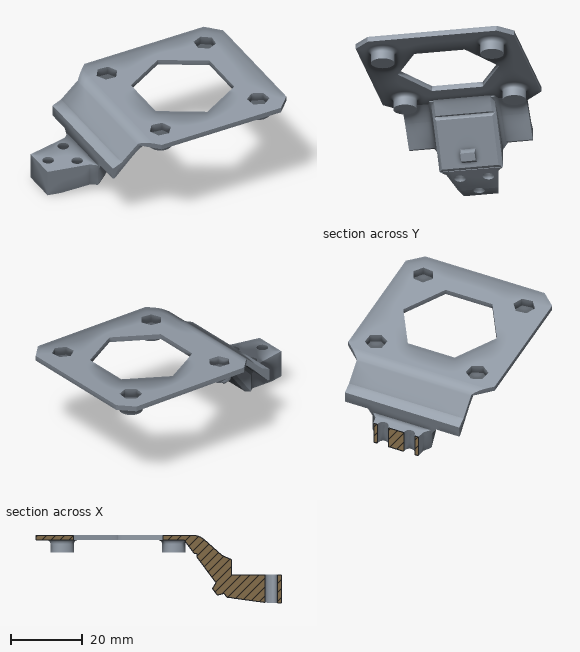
import cadquery as cq
import math


plate_width = 45.0
plate_thickness = 1.5
plate_back_y = 22.9
corner_cut_x = 4.2
corner_cut_y = 3.95
front_corner_y = -18.85
window_apothem = 12.45

boss_spacing = 31.0
boss_radius = 3.3
boss_bottom_z = -5.0
boss_root_fillet = 1.0
nut_pocket_radius = 3.15
nut_pocket_depth = 2.45
back_nut_angle = 6.5
left_front_nut_angle = 26
right_front_nut_angle = 22

slab_width = 35.1
slab_end_y = -31.65
slab_end_bottom_z = -10.2
bend_start_y = -20.65
bend_radius = 5.0
bend_angle = math.radians(41.5)
lip_start_y = -28.9
lip_end_z = -6.85
plate_front_y = -23.65
underside_radius = 15.7
underside_bend_end = (-25.5, -4.7)
underside_flat_y = -31.0

rib_width = 18.05
rib_chamfer = 1.0
web_drop = 1.0
web_embed = 0.4
web_overlap = 0.55
web_start_y = -18.8
rib_top_y = -18.4
rib_foot_y = -30.3
rib_bottom_z = -17.4
notch_y = -21.1
notch_leg_z = 1.0

lug_width = 4.1
lug_base_length = 3.8
lug_tip_length = 2.3
lug_height = 1.8
lug_root_fillet = 0.4
lug_root_depth = 0.7
lug_centre_y = -28.3

block_end_y = -45.45
block_top_z = -11.0
block_bottom_z = -18.9
block_heel_z = -17.6
block_flat_y = -41.7
block_root_half = 8.9
block_shoulder_half = 7.4
block_shoulder_y = -33.35
block_tip_half = 4.9
block_hole_diameter = 3.2
block_hole_spacing = 8.05
block_rear_hole_y = -35.6
block_front_hole_y = -42.6

bend_mid = (
    bend_start_y - bend_radius * math.sin(bend_angle / 2),
    -bend_radius * (1 - math.cos(bend_angle / 2)),
)
bend_end = (
    bend_start_y - bend_radius * math.sin(bend_angle),
    -bend_radius * (1 - math.cos(bend_angle)),
)
lip_start = (lip_start_y, bend_end[1] - (bend_end[0] - lip_start_y) * math.tan(bend_angle))
rib_slope = (rib_bottom_z + plate_thickness) / (rib_foot_y - rib_top_y)

underside_angle = math.atan2(
    underside_bend_end[1] - slab_end_bottom_z, underside_bend_end[0] - underside_flat_y
)
underside_centre = (
    underside_bend_end[0] + underside_radius * math.sin(underside_angle),
    underside_bend_end[1] - underside_radius * math.cos(underside_angle),
)
underside_start_angle = math.acos((-plate_thickness - underside_centre[1]) / underside_radius)


def underside_point(radius, angle):
    """YZ point about the centre of the underside bend, the angle measured from +Z towards -Y."""
    return (
        underside_centre[0] - radius * math.sin(angle),
        underside_centre[1] + radius * math.cos(angle),
    )


def rib_underside_z(y):
    return -plate_thickness + (y - rib_top_y) * rib_slope


def extrude_across(profile, width):
    """Extrude a closed YZ profile symmetrically about X = 0."""
    return profile.close().extrude(width / 2, both=True)


def make_plate():
    half = plate_width / 2
    slab_half = slab_width / 2
    right_side = [
        (slab_half, plate_front_y),
        (half, front_corner_y),
        (half, plate_back_y - corner_cut_y),
        (half - corner_cut_x, plate_back_y),
    ]
    left_side = [(-x, y) for x, y in reversed(right_side)]
    outline = right_side + left_side
    plate = cq.Workplane("XY").polyline(outline).close().extrude(-plate_thickness)
    above_bend = (
        cq.Workplane("YZ")
        .moveTo(bend_start_y, 0)
        .threePointArc(bend_mid, bend_end)
        .lineTo(bend_end[0], plate_thickness)
        .lineTo(bend_start_y, plate_thickness)
    )
    return plate.cut(extrude_across(above_bend, plate_width))


def trace_underside(profile):
    """Follow the slab underside from the plate to the slab end."""
    middle_angle = (underside_start_angle + underside_angle) / 2
    return (
        profile.lineTo(*underside_point(underside_radius, underside_start_angle))
        .threePointArc(underside_point(underside_radius, middle_angle), underside_bend_end)
        .lineTo(underside_flat_y, slab_end_bottom_z)
        .lineTo(slab_end_y, slab_end_bottom_z)
    )


def make_slab():
    profile = trace_underside(
        cq.Workplane("YZ").moveTo(bend_start_y, 0).lineTo(bend_start_y, -plate_thickness)
    )
    profile = (
        profile.lineTo(slab_end_y, lip_end_z)
        .lineTo(*lip_start)
        .lineTo(*bend_end)
        .threePointArc(bend_mid, (bend_start_y, 0))
    )
    return extrude_across(profile, slab_width)


def chamfer_sides(solid, half_width, edge_middle, size):
    """Chamfer the two mirrored edges whose middle lies at edge_middle in YZ."""
    for side in (-1, 1):
        edge = cq.NearestToPointSelector((side * half_width, *edge_middle))
        solid = solid.edges(edge).chamfer(size)
    return solid


def make_rib():
    profile = trace_underside(cq.Workplane("YZ").moveTo(rib_top_y, -plate_thickness))
    profile = profile.lineTo(slab_end_y, rib_bottom_z).lineTo(rib_foot_y, rib_bottom_z)
    rib = extrude_across(profile, rib_width)
    slope_middle = ((rib_top_y + rib_foot_y) / 2, (rib_bottom_z - plate_thickness) / 2)
    return chamfer_sides(rib, rib_width / 2, slope_middle, rib_chamfer)


def make_web():
    """Sloped shoulders bracing both rib sides against the slab underside."""
    lower_radius = underside_radius - web_drop
    upper_radius = underside_radius + web_overlap

    def start_angle(radius):
        return math.asin((underside_centre[0] - web_start_y) / radius)

    def start_point(radius):
        return underside_point(radius, start_angle(radius))

    def bend_middle(radius):
        return underside_point(radius, (start_angle(radius) + underside_angle) / 2)

    def bend_finish(radius):
        return underside_point(radius, underside_angle)

    def slab_end_point(radius):
        y, z = bend_finish(radius)
        return (slab_end_y, z - (y - slab_end_y) * math.tan(underside_angle))

    profile = (
        cq.Workplane("YZ")
        .moveTo(*start_point(lower_radius))
        .threePointArc(bend_middle(lower_radius), bend_finish(lower_radius))
        .lineTo(*slab_end_point(lower_radius))
        .lineTo(*slab_end_point(upper_radius))
        .lineTo(*bend_finish(upper_radius))
        .threePointArc(bend_middle(upper_radius), start_point(upper_radius))
    )
    chamfer_size = web_drop + web_embed
    half_width = rib_width / 2 + chamfer_size
    web = extrude_across(profile, 2 * half_width)
    edge_y, edge_z = bend_finish(lower_radius)
    slope_middle = ((edge_y + slab_end_y) / 2, (edge_z + slab_end_point(lower_radius)[1]) / 2)
    return chamfer_sides(web, half_width, slope_middle, chamfer_size)


def make_notch():
    """Triangular groove running across the rib underside."""
    bottom_z = rib_underside_z(notch_y)
    corner_y = notch_y - notch_leg_z / rib_slope
    profile = (
        cq.Workplane("YZ")
        .moveTo(notch_y, bottom_z)
        .lineTo(corner_y, bottom_z)
        .lineTo(corner_y, rib_underside_z(corner_y))
    )
    return extrude_across(profile, rib_width)


def add_lug(body):
    """Add a trapezoidal lug standing square to the rib underside, with filleted side roots."""
    slope_length = math.hypot(1, rib_slope)
    along = (-1 / slope_length, -rib_slope / slope_length)
    outward = (rib_slope / slope_length, -1 / slope_length)
    centre = (lug_centre_y, rib_underside_z(lug_centre_y))
    corners = [
        (-lug_base_length / 2, -lug_root_depth),
        (-lug_base_length / 2, 0),
        (-lug_tip_length / 2, lug_height),
        (lug_tip_length / 2, lug_height),
        (lug_base_length / 2, 0),
        (lug_base_length / 2, -lug_root_depth),
    ]
    points = [
        (centre[0] + u * along[0] + v * outward[0], centre[1] + u * along[1] + v * outward[1])
        for u, v in corners
    ]
    body = body.union(extrude_across(cq.Workplane("YZ").polyline(points), lug_width))
    for side in (-1, 1):
        root_edge = cq.NearestToPointSelector((side * lug_width / 2, *centre))
        body = body.edges(root_edge).fillet(lug_root_fillet)
    return body


def make_block():
    right_side = [
        (block_root_half, slab_end_y),
        (block_shoulder_half, block_shoulder_y),
        (block_tip_half, block_end_y),
    ]
    outline = right_side + [(-x, y) for x, y in reversed(right_side)]
    block = (
        cq.Workplane("XY")
        .workplane(offset=block_bottom_z)
        .polyline(outline)
        .close()
        .extrude(block_top_z - block_bottom_z)
    )
    below_heel = cq.Workplane("YZ").polyline(
        [(slab_end_y, block_heel_z), (block_flat_y, block_bottom_z), (slab_end_y, block_bottom_z)]
    )
    block = block.cut(extrude_across(below_heel, plate_width))
    half_spacing = block_hole_spacing / 2
    hole_centres = [
        (-half_spacing, block_rear_hole_y),
        (half_spacing, block_rear_hole_y),
        (0, block_front_hole_y),
    ]
    holes = (
        cq.Workplane("XY")
        .workplane(offset=block_bottom_z)
        .pushPoints(hole_centres)
        .circle(block_hole_diameter / 2)
        .extrude(block_top_z - block_bottom_z)
    )
    return block.cut(holes)


def make_boss(x, y):
    """Round boss under the plate, flaring out to meet it."""
    profile = (
        cq.Workplane("XZ")
        .moveTo(0, boss_bottom_z)
        .lineTo(boss_radius, boss_bottom_z)
        .lineTo(boss_radius, -plate_thickness - boss_root_fillet)
        .radiusArc((boss_radius + boss_root_fillet, -plate_thickness), boss_root_fillet)
        .lineTo(0, -plate_thickness)
        .close()
    )
    return profile.revolve(360, (0, 0, 0), (0, 1, 0)).translate((x, y, 0))


def make_hexagon_cut(radius, depth, angle=0):
    """Hexagonal prism going down from Z = 0, one corner at the given angle from +X."""
    prism = cq.Workplane("XY").polygon(6, 2 * radius).extrude(-depth)
    return prism.rotate((0, 0, 0), (0, 0, 1), angle)


body = make_plate().union(make_slab()).union(make_rib()).union(make_web())
body = add_lug(body.cut(make_notch())).union(make_block())

boss_offset = boss_spacing / 2
nuts = [
    (-boss_offset, boss_offset, -back_nut_angle),
    (boss_offset, boss_offset, back_nut_angle),
    (-boss_offset, -boss_offset, left_front_nut_angle),
    (boss_offset, -boss_offset, right_front_nut_angle),
]
for boss_x, boss_y, nut_angle in nuts:
    pocket = make_hexagon_cut(nut_pocket_radius, nut_pocket_depth, nut_angle)
    body = body.union(make_boss(boss_x, boss_y)).cut(pocket.translate((boss_x, boss_y, 0)))

window_radius = window_apothem / math.cos(math.pi / 6)
result = body.cut(make_hexagon_cut(window_radius, plate_thickness))